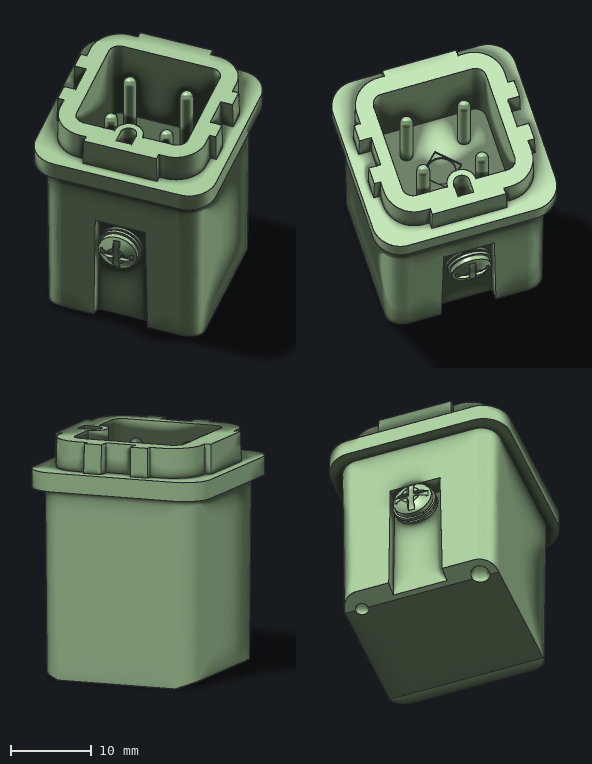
import cadquery as cq
import math

height = 30.1
flange_top = 26.37
flange_bottom = 24.0
cavity_floor = 18.65

flange_size = 23.7
flange_radius = 3.55
overall_depth = 23.9

body_top_size = 20.75
body_bottom_size = 20.32
body_radius = 2.6
base_slope_height = 0.8
base_slope_depth = 2.3

collar_draft = 0.1
collar_size = 19.32
collar_radius = 4.0
lug_span = 20.95
front_lug_width = 9.75
side_lug_width = 8.6
notch_width = 3.9
notch_span = 17.7

cavity_size = 14.6
cavity_radius = 1.4
key_boss_radius = 1.85
keyhole_radius = 1.02
keyhole_length = 1.7
keyhole_draft = 0.2
keyhole_depth = 7.52

pin_radius = 0.8
pin_tip_z = 28.47
pin_tip_flat_radius = 0.18
pin_pitch = 7.45
offset_pin_y = -3.22
pin_spots = [
    (-pin_pitch / 2, pin_pitch / 2),
    (pin_pitch / 2, pin_pitch / 2),
    (pin_pitch / 2, -pin_pitch / 2),
    (-pin_pitch / 2, offset_pin_y),
]

recess_center = (-0.25, 0.48)
recess_diagonal = 5.3
recess_depth = 0.3
recess_bore_radius = 1.85
recess_bore_depth = 0.6

channel_top_width = 6.55
channel_bottom_width = 7.1
channel_roof_outer = 17.0
channel_roof_inner = 16.4
seat_bottom = 10.05
seat_y = -8.6
channel_foot_y = -8.52

screw_z = 13.42
washer_radius = 2.8
washer_face_y = -10.7
washer_thickness = 0.35
washer_gap = 0.25
washer_gap_radius = 2.35
shank_radius = 1.35
shank_embed = 0.3
head_radius = 2.53
head_rim_y = -11.32
head_tip_y = flange_size / 2 - overall_depth
head_tip_radius = 1.2
dome_bulge = 0.045
cross_slot_width = 0.85
cross_slot_floor_y = -11.55

base_holes = [(7.83, -8.13, 1.17), (-7.95, -7.75, 0.85)]
base_hole_depth = 3.6


def rounded_prism(size, radius, z_start, z_end, inset=0):
    """Square block with rounded corners; inset draws in each side towards z_end."""
    draft = math.degrees(math.atan2(inset, abs(z_end - z_start)))
    outline = cq.Sketch().rect(size, size).vertices().fillet(radius)
    base = cq.Workplane("XY", origin=(0, 0, z_start)).placeSketch(outline)
    return base.extrude(z_end - z_start, taper=draft)


def collar_bar(x_size, y_size):
    """Drafted bar across the collar whose two ends form opposite lugs."""
    return (
        cq.Workplane("XY", origin=(0, 0, flange_top))
        .rect(x_size, y_size)
        .workplane(offset=height - flange_top)
        .rect(x_size - 2 * collar_draft, y_size - 2 * collar_draft)
        .loft(ruled=True)
    )


def body():
    draft_inset = (body_top_size - body_bottom_size) / 2
    block = rounded_prism(body_top_size, body_radius, flange_bottom, 0, draft_inset)
    edge = body_bottom_size / 2
    slope = base_slope_height / base_slope_depth
    overrun = 0.6
    for side in (-1, 1):
        wedge = (
            cq.Workplane("YZ")
            .moveTo(side * (edge - base_slope_depth), 0)
            .lineTo(side * (edge + overrun), base_slope_height + overrun * slope)
            .lineTo(side * (edge + overrun), 0)
            .close()
            .extrude(body_top_size / 2, both=True)
        )
        block = block.cut(wedge)
    return block


def flange():
    return rounded_prism(flange_size, flange_radius, flange_bottom, flange_top)


def collar():
    core = rounded_prism(collar_size, collar_radius, flange_top, height, collar_draft)
    ring = core.union(collar_bar(front_lug_width, lug_span)).union(collar_bar(lug_span, side_lug_width))
    notch_depth = (lug_span - notch_span) / 2
    notches = (
        cq.Workplane("XY", origin=(0, 0, flange_top))
        .pushPoints([(side * lug_span / 2, 0) for side in (-1, 1)])
        .rect(2 * notch_depth, notch_width)
        .extrude(height - flange_top)
    )
    return ring.cut(notches)


def cavity():
    space = rounded_prism(cavity_size, cavity_radius, cavity_floor, height)
    key_boss = (
        cq.Workplane("XY", origin=(0, -cavity_size / 2, cavity_floor))
        .circle(key_boss_radius)
        .extrude(height - cavity_floor)
    )
    return space.cut(key_boss)


def keyhole_outline(plane, inset):
    """D-shaped outline: a half round towards the cavity and a square outer end."""
    radius = keyhole_radius - inset
    square_end = inset - keyhole_length
    return (
        plane.moveTo(-radius, square_end)
        .lineTo(radius, square_end)
        .lineTo(radius, 0)
        .threePointArc((0, radius), (-radius, 0))
        .close()
    )


def keyhole():
    mouth = keyhole_outline(cq.Workplane("XY", origin=(0, -cavity_size / 2, height)), 0)
    return keyhole_outline(mouth.workplane(offset=-keyhole_depth), keyhole_draft).loft(ruled=True)


def pin(x, y):
    """Round pin with a domed tip, standing on the cavity floor."""
    dome_center = pin_tip_z - math.sqrt(pin_radius**2 - pin_tip_flat_radius**2)
    mid = pin_radius * math.sqrt(0.5)
    profile = (
        cq.Workplane("XZ")
        .moveTo(0, cavity_floor)
        .lineTo(pin_radius, cavity_floor)
        .lineTo(pin_radius, dome_center)
        .threePointArc((mid, dome_center + mid), (pin_tip_flat_radius, pin_tip_z))
        .lineTo(0, pin_tip_z)
        .close()
    )
    return profile.revolve(360, (0, 0), (0, 1)).translate((x, y, 0))


def floor_recess():
    side = recess_diagonal / math.sqrt(2)
    square = (
        cq.Workplane("XY")
        .rect(side, side)
        .extrude(-recess_depth)
        .rotate((0, 0, 0), (0, 0, 1), 45)
    )
    bore = cq.Workplane("XY").circle(recess_bore_radius).extrude(-recess_bore_depth)
    return square.union(bore).translate((recess_center[0], recess_center[1], cavity_floor))


def channel():
    """Front channel, widening downwards, with a sloped roof above the screw seat."""
    face_y = -flange_size / 2
    body_y = -body_top_size / 2
    roof_slope = (channel_roof_outer - channel_roof_inner) / (seat_y - body_y)
    roof_at_face = channel_roof_inner + roof_slope * (seat_y - face_y)
    side_profile = (
        cq.Workplane("YZ")
        .polyline([
            (face_y, 0),
            (channel_foot_y, 0),
            (seat_y, seat_bottom),
            (seat_y, channel_roof_inner),
            (face_y, roof_at_face),
        ])
        .close()
        .extrude(channel_bottom_width / 2, both=True)
    )
    top_half = channel_top_width / 2
    bottom_half = channel_bottom_width / 2
    front_profile = (
        cq.Workplane("XZ")
        .polyline([
            (-bottom_half, 0),
            (bottom_half, 0),
            (top_half, roof_at_face),
            (-top_half, roof_at_face),
        ])
        .close()
        .extrude(flange_size / 2)
    )
    return side_profile.intersect(front_profile)


def screw():
    """Domed cross-slot screw on two spaced washers, with its axis along Y."""
    front_washer_back = washer_face_y + washer_thickness
    rear_washer_front = front_washer_back + washer_gap
    rear_washer_back = rear_washer_front + washer_thickness
    shank_end_y = seat_y + shank_embed
    dome_mid_radius = (head_radius + head_tip_radius) / 2 + dome_bulge
    dome_mid_y = (head_rim_y + head_tip_y) / 2 - dome_bulge
    turned = (
        cq.Workplane("XY")
        .moveTo(0, shank_end_y)
        .lineTo(shank_radius, shank_end_y)
        .lineTo(shank_radius, rear_washer_back)
        .lineTo(washer_radius, rear_washer_back)
        .lineTo(washer_radius, rear_washer_front)
        .lineTo(washer_gap_radius, rear_washer_front)
        .lineTo(washer_gap_radius, front_washer_back)
        .lineTo(washer_radius, front_washer_back)
        .lineTo(washer_radius, washer_face_y)
        .lineTo(head_radius, washer_face_y)
        .lineTo(head_radius, head_rim_y)
        .threePointArc((dome_mid_radius, dome_mid_y), (head_tip_radius, head_tip_y))
        .lineTo(0, head_tip_y)
        .close()
        .revolve(360, (0, 0), (0, 1))
    )
    cross = cq.Workplane("XZ", origin=(0, cross_slot_floor_y, 0))
    slot_length = 2 * head_radius
    slot_depth = cross_slot_floor_y - head_tip_y
    for x_size, z_size in ((slot_length, cross_slot_width), (cross_slot_width, slot_length)):
        turned = turned.cut(cross.rect(x_size, z_size).extrude(slot_depth))
    return turned.translate((0, 0, screw_z))


result = body().union(flange()).union(collar())
result = result.cut(cavity()).cut(keyhole()).cut(floor_recess()).cut(channel())
for pin_x, pin_y in pin_spots:
    result = result.union(pin(pin_x, pin_y))
for hole_x, hole_y, hole_radius in base_holes:
    hole = cq.Workplane("XY").center(hole_x, hole_y).circle(hole_radius).extrude(base_hole_depth)
    result = result.cut(hole)
result = result.union(screw())